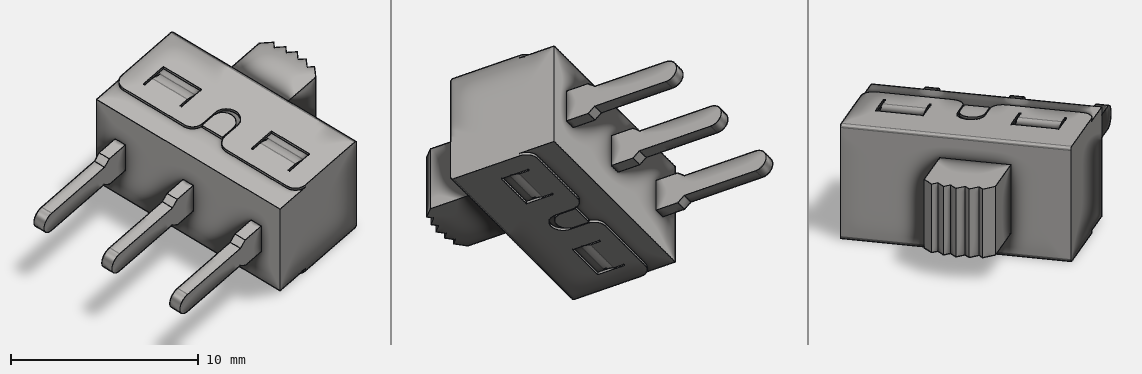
import cadquery as cq

overall_length = 17.2
body_width = 12.7
body_height = 6.6
body_depth = 6.4

cover_thickness = 0.163
cover_rear_y = 1.43
cover_corner_radius = 0.7
cover_front_radius = 0.17

notch_half_width = 0.75
notch_top_y = 3.94
tab_half_width = 0.7
tab_top_y = 3.6
tab_rear_y = 2.0

window_offset = 3.73
window_width = 2.63
window_front_y = 4.02
window_rear_y = 2.37
tongue_width = 2.43
ramp_foot_y = 3.61
ramp_crest_y = 2.98

knob_center_x = -1.08
knob_width = 3.92
knob_height = 3.94
grip_pitch = 0.7
grip_peak_drops = [0.0, 0.1, 0.25]

pin_pitch = 4.7
pin_thickness = 0.7
pin_length = 6.8
pin_root_height = 1.96
pin_tip_height = 1.3
pin_root_length = 1.35
pin_taper_length = 0.4

base_top_z = body_height / 2 - cover_thickness
knob_tip_y = overall_length - pin_length


def make_base():
    """Plastic block, as tall as the inside of the cover."""
    return cq.Workplane("XY").box(
        body_width, body_depth, 2 * base_top_z, centered=(True, False, True)
    )


def round_ended_slot(half_width, rear_y, top_y, height):
    """Upright slug with a straight rear end and a full round at its +Y end."""
    arc_start_y = top_y - half_width
    return (
        cq.Workplane("XY")
        .moveTo(-half_width, rear_y)
        .lineTo(-half_width, arc_start_y)
        .threePointArc((0, top_y), (half_width, arc_start_y))
        .lineTo(half_width, rear_y)
        .close()
        .extrude(height)
    )


def make_tongue(x):
    """Latch tongue: rises from the base to the cover surface along a ramp."""
    return (
        cq.Workplane("YZ", origin=(x - tongue_width / 2, 0, 0))
        .moveTo(window_rear_y, 0)
        .lineTo(ramp_foot_y, 0)
        .lineTo(ramp_crest_y, cover_thickness)
        .lineTo(window_rear_y, cover_thickness)
        .close()
        .extrude(tongue_width)
    )


def make_cover_sheet():
    """One cover sheet with its notch, tab, windows and tongues, lying on Z = 0."""
    front_length = body_depth - cover_rear_y
    sheet = cq.Workplane("XY").box(
        body_width, front_length, cover_thickness, centered=(True, False, False)
    ).translate((0, cover_rear_y, 0))
    sheet = sheet.cut(round_ended_slot(notch_half_width, cover_rear_y, notch_top_y, cover_thickness))
    sheet = sheet.edges("|Z").edges("<Y").fillet(cover_corner_radius)

    window_length = window_front_y - window_rear_y
    for x in (-window_offset, window_offset):
        window = cq.Workplane("XY").box(
            window_width, window_length, cover_thickness, centered=(True, False, False)
        ).translate((x, window_rear_y, 0))
        sheet = sheet.cut(window).union(make_tongue(x))

    return sheet.union(round_ended_slot(tab_half_width, tab_rear_y, tab_top_y, cover_thickness))


def make_body():
    """Base between two mirrored cover sheets, with the long front edges rounded."""
    upper_sheet = make_cover_sheet().translate((0, 0, base_top_z))
    body = make_base().union(upper_sheet).union(upper_sheet.mirror("XY"))
    return body.faces(">Y").edges("|X").fillet(cover_front_radius)


def make_knob():
    """Knob with 45 degree grip teeth; each tooth peak drops further from the tip."""
    half_outline = [(0, knob_tip_y)]
    for i in range(1, len(grip_peak_drops)):
        inner_drop = grip_peak_drops[i - 1]
        outer_drop = grip_peak_drops[i]
        valley_run = (grip_pitch + outer_drop - inner_drop) / 2
        half_outline.append(((i - 1) * grip_pitch + valley_run, knob_tip_y - inner_drop - valley_run))
        half_outline.append((i * grip_pitch, knob_tip_y - outer_drop))
    last_peak_x, last_peak_y = half_outline[-1]
    shoulder_run = knob_width / 2 - last_peak_x
    half_outline.append((knob_width / 2, last_peak_y - shoulder_run))
    half_outline.append((knob_width / 2, body_depth))
    mirrored_outline = [(-x, y) for x, y in reversed(half_outline[1:])]
    return (
        cq.Workplane("XY", origin=(knob_center_x, 0, 0))
        .polyline(half_outline + mirrored_outline)
        .close()
        .extrude(knob_height / 2, both=True)
    )


def make_pin(x):
    """Flat terminal: wide root, short taper, then a narrow blade with a round end."""
    root_z = pin_root_height / 2
    blade_z = pin_tip_height / 2
    taper_end_y = -pin_root_length - pin_taper_length
    round_start_y = blade_z - pin_length
    return (
        cq.Workplane("YZ", origin=(x, 0, 0))
        .moveTo(0, root_z)
        .lineTo(-pin_root_length, root_z)
        .lineTo(taper_end_y, blade_z)
        .lineTo(round_start_y, blade_z)
        .threePointArc((-pin_length, 0), (round_start_y, -blade_z))
        .lineTo(taper_end_y, -blade_z)
        .lineTo(-pin_root_length, -root_z)
        .lineTo(0, -root_z)
        .close()
        .extrude(pin_thickness / 2, both=True)
    )


result = make_body().union(make_knob())
for pin_x in (-pin_pitch, 0, pin_pitch):
    result = result.union(make_pin(pin_x))